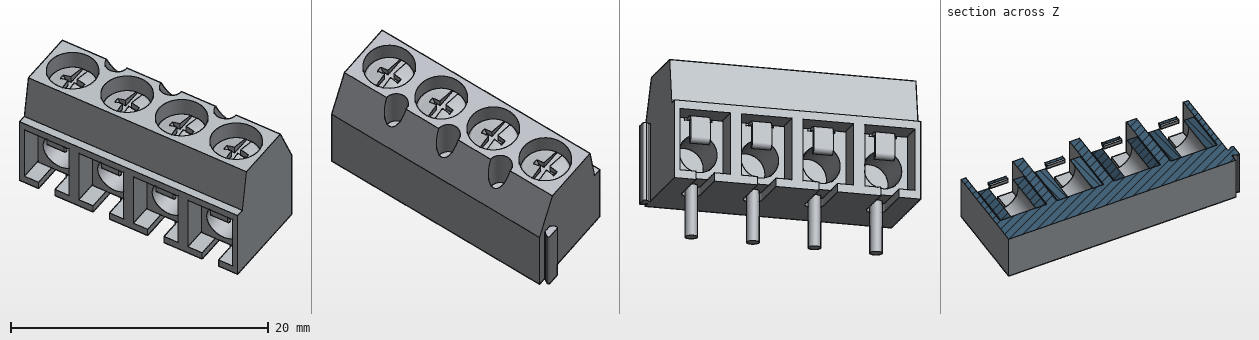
import cadquery as cq
import math


pole_count = 4
pitch = 5.0
pole_positions = [i * pitch for i in range(pole_count)]

housing_left = -pitch / 2
housing_length = pole_count * pitch
housing_front = -3.8
housing_back = 4.2
housing_height = 10.0
shoulder_height = 6.33
shoulder_depth = 0.7
top_front = -2.5
top_back = 2.5

pocket_width = 4.1
pocket_floor = 0.68
pocket_top = 5.67
pin_slot_width = 1.5

well_radius = 2.05
well_seat = 6.5
groove_radius = 0.93

rib_projection = 0.6
rib_root_width = 0.76
rib_tip_width = 1.18
rib_tip_thickness = 0.22
rib_neck_length = 0.1
rib_edge_radius = 0.13
rib_center_y = 3.18

cage_width = 4.0
cage_depth = 3.76
cage_top = 5.55
bore_radius = 1.53
bore_center_z = 2.72
pin_radius = 0.5
pin_length = 3.5
guard_width = 1.58
guard_reach = 0.64
guard_thickness = 0.3
guard_bend_radius = 0.4
guard_bottom = 3.45
notch_width = 2.2
notch_depth = 0.36
pad_width = 3.44

head_radius = 2.0
head_edge_radius = 0.4
head_edge_z = 8.3
cone_height = 0.42
shank_radius = 1.5
slot_width = 0.56
recess_floor_z = 8.42
cross_width = 0.44
cross_half_length_top = 1.12
cross_half_length_floor = 0.76

cage_front = -cage_depth / 2
cage_back = cage_depth / 2
notch_back = cage_front + notch_depth
cone_edge_radius = head_radius - head_edge_radius
cone_edge_z = head_edge_z + head_edge_radius
head_top_z = cone_edge_z + cone_height


def box(x_range, y_range, z_range):
    """Box given by its limits along each axis."""
    corner = (x_range[0], y_range[0], z_range[0])
    return cq.Workplane("XY").box(
        x_range[1] - x_range[0],
        y_range[1] - y_range[0],
        z_range[1] - z_range[0],
        centered=False,
    ).translate(corner)


def cylinder(x, y, radius, bottom, top):
    """Upright cylinder between two heights."""
    return cq.Workplane("XY", origin=(x, y, bottom)).circle(radius).extrude(top - bottom)


def centered_range(width):
    return (-width / 2, width / 2)


def make_housing_shell():
    """Side profile extruded along the row of poles."""
    profile = [
        (housing_front, 0),
        (housing_back, 0),
        (housing_back, shoulder_height),
        (top_back, housing_height),
        (top_front, housing_height),
        (housing_front + shoulder_depth, shoulder_height),
        (housing_front, shoulder_height),
    ]
    plane = cq.Workplane("YZ", origin=(housing_left, 0, 0))
    return plane.polyline(profile).close().extrude(housing_length)


def make_dovetail_rib():
    """Joining rib that widens away from the left end face."""
    tip_x = housing_left - rib_projection
    flank_start = tip_x + rib_tip_thickness
    flank_end = housing_left - rib_neck_length
    half_root = rib_root_width / 2
    half_tip = rib_tip_width / 2
    outline = [
        (housing_left, -half_root),
        (flank_end, -half_root),
        (flank_start, -half_tip),
        (tip_x, -half_tip),
        (tip_x, half_tip),
        (flank_start, half_tip),
        (flank_end, half_root),
        (housing_left, half_root),
    ]
    plane = cq.Workplane("XY", origin=(0, rib_center_y, 0))
    rib = plane.polyline(outline).close().extrude(shoulder_height)
    return rib.edges("|Z").edges("<X").fillet(rib_edge_radius)


def make_pole_cavity():
    """Space removed from the housing for one pole: pocket, pin slot and screw well."""
    pocket = box(centered_range(pocket_width), (housing_front, cage_back), (pocket_floor, pocket_top))
    slot = box(centered_range(pin_slot_width), (housing_front, 0), (0, pocket_floor))
    slot_end = cylinder(0, 0, pin_slot_width / 2, 0, pocket_floor)
    well = cylinder(0, 0, well_radius, well_seat, housing_height)
    shank_hole = cylinder(0, 0, shank_radius, pocket_top, well_seat)
    return pocket.union(slot).union(slot_end).union(well).union(shank_hole)


def make_housing():
    body = make_housing_shell().union(make_dovetail_rib())
    cavity = make_pole_cavity()
    for x in pole_positions:
        body = body.cut(cavity.translate((x, 0, 0)))
    for x in pole_positions[:-1]:
        groove = cylinder(x + pitch / 2, top_back, groove_radius, shoulder_height, housing_height)
        body = body.cut(groove)
    return body


def make_wire_guard():
    """Bent strip: anchored in the cage notch, hanging in front of the wire bore."""
    outer = guard_bend_radius
    inner = guard_bend_radius - guard_thickness
    front = cage_front - guard_reach
    bend_y = front + outer
    top_bend_z = pocket_top - outer
    bottom_bend_z = guard_bottom + outer
    diagonal = math.sqrt(0.5)
    outline = (
        cq.Workplane("YZ", origin=(-guard_width / 2, 0, 0))
        .moveTo(notch_back, pocket_top)
        .lineTo(bend_y, pocket_top)
        .threePointArc((bend_y - outer * diagonal, top_bend_z + outer * diagonal), (front, top_bend_z))
        .lineTo(front, bottom_bend_z)
        .threePointArc((bend_y - outer * diagonal, bottom_bend_z - outer * diagonal), (bend_y, guard_bottom))
        .lineTo(bend_y, bottom_bend_z - inner)
        .threePointArc(
            (bend_y - inner * diagonal, bottom_bend_z - inner * diagonal),
            (bend_y - inner, bottom_bend_z),
        )
        .lineTo(bend_y - inner, top_bend_z)
        .threePointArc(
            (bend_y - inner * diagonal, top_bend_z + inner * diagonal),
            (bend_y, top_bend_z + inner),
        )
        .lineTo(notch_back, pocket_top - guard_thickness)
        .close()
    )
    return outline.extrude(guard_width)


def make_terminal():
    """Cage with wire bore, screw pad, wire guard and solder pin, all one solid."""
    cage = box(centered_range(cage_width), (cage_front, cage_back), (pocket_floor, cage_top))
    bore = (
        cq.Workplane("XZ", origin=(0, cage_back, bore_center_z))
        .circle(bore_radius)
        .extrude(cage_depth)
    )
    notch = box(
        centered_range(notch_width),
        (cage_front, notch_back),
        (pocket_top - guard_thickness, cage_top),
    )
    pad = box(centered_range(pad_width), (notch_back, -notch_back), (cage_top, pocket_top))
    pin = cylinder(0, 0, pin_radius, -pin_length, pocket_floor)
    return cage.cut(bore).cut(notch).union(pad).union(make_wire_guard()).union(pin)


def make_cross_recess():
    """Full-width slot crossed by a short recess with sloping ends."""
    slot = box(centered_range(slot_width), centered_range(2 * head_radius), (recess_floor_z, head_top_z))
    short_recess = (
        cq.Workplane("XZ", origin=(0, cross_width / 2, 0))
        .polyline([
            (-cross_half_length_floor, recess_floor_z),
            (cross_half_length_floor, recess_floor_z),
            (cross_half_length_top, head_top_z),
            (-cross_half_length_top, head_top_z),
        ])
        .close()
        .extrude(cross_width)
    )
    return slot.union(short_recess)


def make_screw():
    """Low conical head with a rounded edge, on a shank that rests on the terminal pad."""
    edge_mid = head_edge_radius * math.sqrt(0.5)
    half_section = (
        cq.Workplane("XZ")
        .moveTo(0, pocket_top)
        .lineTo(shank_radius, pocket_top)
        .lineTo(shank_radius, well_seat)
        .lineTo(head_radius, well_seat)
        .lineTo(head_radius, head_edge_z)
        .threePointArc((cone_edge_radius + edge_mid, head_edge_z + edge_mid), (cone_edge_radius, cone_edge_z))
        .lineTo(0, head_top_z)
        .close()
    )
    return half_section.revolve(360, (0, 0, 0), (0, 1, 0)).cut(make_cross_recess())


housing = make_housing()
terminal = make_terminal()
screw = make_screw()
terminals = [terminal.translate((x, 0, 0)) for x in pole_positions]
screws = [screw.translate((x, 0, 0)) for x in pole_positions]

result = cq.Compound.makeCompound([
    housing.val(),
    *[body.val() for body in terminals],
    *[body.val() for body in screws],
])